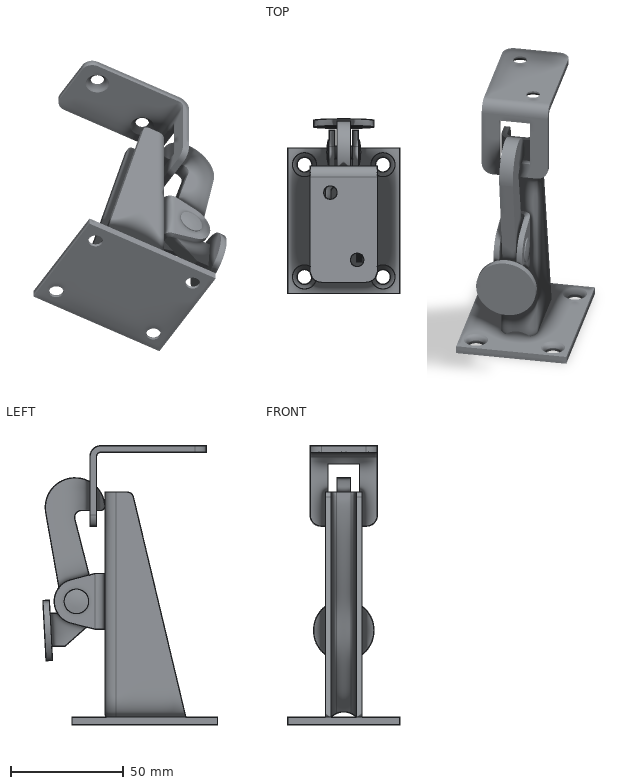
import cadquery as cq
import math


sink_angle = 90

base_width = 50.0
base_length = 65.0
base_thickness = 3.5
base_hole_diameter = 6.5
base_sink_diameter = 10.7
base_hole_spacing_x = 35.0
base_hole_spacing_y = 50.0

sheet = 2.5

post_width = 16.4
post_height = 100.3
post_back = 17.8
post_depth_bottom = 36.1
post_depth_top = 12.2
post_bend_radius = 5.0
post_corner_radius = 3.0
relief_radius = 8.1
relief_height = 2.2

clevis_width = 13.0
clevis_height = 24.9
clevis_bend_radius = 4.5
ear_radius = 10.0

rivet_diameter = 5.7
rivet_y = post_back + 12.7
rivet_z = 55.0
rivet_head_diameter = 11.0
rivet_rim_height = 0.5
rivet_dome_height = 0.6

strike_top = 124.5
strike_thickness = 3.0
strike_width = 30.0
strike_length = 51.9
strike_drop = 36.0
strike_back = post_back + 6.7
strike_bend_radius = 5.0
strike_corner_radius = 5.0
strike_hole_diameter = 6.0
strike_sink_diameter = 10.5
strike_hole_offset_x = 6.0
strike_hole_inset_back = 12.0
strike_hole_spacing_y = 30.0
window_width = 14.0
window_top_margin = 8.2
window_bottom_margin = 7.0

lever_thickness = 6.2
hook_radius = 13.3
hook_y = post_back + hook_radius
hook_z = 96.9
hook_tip_radius = 2.0
throat_radius = 3.0
throat_y = 32.1
outer_edge_lean = math.radians(10.0)
inner_edge_lean = math.radians(14.3)
tail_top = 49.8
tail_bottom = 35.0
tail_corner_y = 35.6
tail_slope = math.radians(41.7)
heel_radius = 5.0
disc_diameter = 27.0
disc_thickness = 3.0
disc_y = 43.3
disc_z = 42.1
disc_tilt = 3.0

post_top = base_thickness + post_height
strike_bottom = strike_top - strike_drop
window_bottom = strike_bottom + window_bottom_margin


def slab(outline, width):
    """Extrude an outline of the YZ plane evenly to both sides of X = 0."""
    return outline.extrude(width / 2, both=True)


def crosswise_cylinder(diameter, length, y, z):
    """A cylinder along X, centred on X = 0."""
    return slab(cq.Workplane("YZ").center(y, z).circle(diameter / 2), length)


def u_channel(width, back, depth, bottom, height, bend_radius, opening):
    """A bent sheet U with its web at Y = back; opening is +1 or -1, the Y side it opens to."""
    middle = back + opening * depth / 2
    outer = (
        cq.Workplane("XY").workplane(offset=bottom).center(0, middle).rect(width, depth).extrude(height)
    )
    web_side = "<Y" if opening > 0 else ">Y"
    outer = outer.faces(web_side).edges("|Z").fillet(bend_radius)
    inner = (
        cq.Workplane("XY")
        .workplane(offset=bottom)
        .center(0, middle + opening * sheet)
        .rect(width - 2 * sheet, depth)
        .extrude(height)
    )
    inner = inner.faces(web_side).edges("|Z").fillet(bend_radius - sheet)
    return outer.cut(inner)


def make_base():
    plate = cq.Workplane("XY").box(base_width, base_length, base_thickness, centered=(True, True, False))
    return (
        plate.faces(">Z")
        .workplane()
        .rect(base_hole_spacing_x, base_hole_spacing_y, forConstruction=True)
        .vertices()
        .cskHole(base_hole_diameter, base_sink_diameter, sink_angle)
    )


def make_post():
    channel = u_channel(
        post_width, post_back, post_depth_bottom, base_thickness, post_height, post_bend_radius, -1
    )
    side = slab(
        cq.Workplane("YZ").polyline([
            (post_back, base_thickness),
            (post_back - post_depth_bottom, base_thickness),
            (post_back - post_depth_top, post_top),
            (post_back, post_top),
        ]).close(),
        post_width,
    )
    side = side.edges("|X").edges(">Z").edges("<Y").fillet(post_corner_radius)
    relief = (
        cq.Workplane("XZ", origin=(0, post_back, 0))
        .center(0, base_thickness + relief_height - relief_radius)
        .circle(relief_radius)
        .extrude(post_bend_radius)
    )
    return channel.intersect(side).cut(relief)


def make_clevis():
    depth = rivet_y + ear_radius - post_back
    channel = u_channel(
        clevis_width, post_back, depth, rivet_z - clevis_height / 2, clevis_height, clevis_bend_radius, 1
    )
    shoulder_y = post_back + clevis_bend_radius
    shoulder_z = clevis_height / 2
    shoulder_run = rivet_y - shoulder_y
    reach = math.hypot(shoulder_run, shoulder_z)
    tangent_angle = math.atan2(shoulder_z, -shoulder_run) - math.acos(ear_radius / reach)
    tangent_y = rivet_y + ear_radius * math.cos(tangent_angle)
    tangent_z = ear_radius * math.sin(tangent_angle)
    ears = slab(
        cq.Workplane("YZ")
        .moveTo(post_back, rivet_z - shoulder_z)
        .lineTo(shoulder_y, rivet_z - shoulder_z)
        .lineTo(tangent_y, rivet_z - tangent_z)
        .threePointArc((rivet_y + ear_radius, rivet_z), (tangent_y, rivet_z + tangent_z))
        .lineTo(shoulder_y, rivet_z + shoulder_z)
        .lineTo(post_back, rivet_z + shoulder_z)
        .close(),
        clevis_width,
    )
    hole = crosswise_cylinder(rivet_diameter, clevis_width, rivet_y, rivet_z)
    return channel.intersect(ears).cut(hole)


def make_stand():
    return make_base().union(make_post()).union(make_clevis())


def make_strike():
    tip_y = strike_back - strike_length
    profile = slab(
        cq.Workplane("YZ").polyline([
            (strike_back, strike_bottom),
            (strike_back, strike_top),
            (tip_y, strike_top),
            (tip_y, strike_top - strike_thickness),
            (strike_back - strike_thickness, strike_top - strike_thickness),
            (strike_back - strike_thickness, strike_bottom),
        ]).close(),
        strike_width,
    )
    outer_bend = profile.edges("|X").edges(">Z").edges(">Y")
    strike = outer_bend.fillet(strike_bend_radius)
    inner_corner = cq.selectors.NearestToPointSelector(
        (0, strike_back - strike_thickness, strike_top - strike_thickness)
    )
    strike = strike.edges("|X").edges(inner_corner).fillet(strike_bend_radius - strike_thickness)
    strike = strike.faces("<Y").edges("|Z").fillet(strike_corner_radius)
    strike = strike.faces("<Z").edges("|Y").fillet(strike_corner_radius)

    window_height = strike_drop - window_top_margin - window_bottom_margin
    window = cq.Workplane("XY").box(window_width, strike_thickness, window_height).translate(
        (0, strike_back - strike_thickness / 2, window_bottom + window_height / 2)
    )
    back_hole_y = strike_back - strike_hole_inset_back
    sink_depth = (strike_sink_diameter - strike_hole_diameter) / 2 / math.tan(math.radians(sink_angle / 2))
    underside = strike_top - strike_thickness
    screw_hole = (
        cq.Workplane("XZ")
        .moveTo(0, underside)
        .lineTo(strike_sink_diameter / 2, underside)
        .lineTo(strike_hole_diameter / 2, underside + sink_depth)
        .lineTo(strike_hole_diameter / 2, strike_top)
        .lineTo(0, strike_top)
        .close()
        .revolve(360, (0, 0, 0), (0, 1, 0))
    )
    strike = strike.cut(window)
    for hole_x, hole_y in [
        (-strike_hole_offset_x, back_hole_y),
        (strike_hole_offset_x, back_hole_y - strike_hole_spacing_y),
    ]:
        strike = strike.cut(screw_hole.translate((hole_x, hole_y, 0)))
    return strike


def make_hook():
    underside = window_bottom
    tip_y = hook_y - math.sqrt(hook_radius**2 - (hook_z - underside) ** 2)
    tangent_y = hook_y + hook_radius * math.cos(outer_edge_lean)
    tangent_z = hook_z - hook_radius * math.sin(outer_edge_lean)
    tail_root_y = tangent_y - (tangent_z - tail_top) * math.tan(outer_edge_lean)
    inner_pull = math.tan(inner_edge_lean)
    tail_rise = math.tan(tail_slope)
    heel_z = (tail_bottom + tail_rise * (tail_corner_y - throat_y + inner_pull * underside)) / (
        1 + tail_rise * inner_pull
    )
    heel_y = throat_y - (underside - heel_z) * inner_pull
    hook = slab(
        cq.Workplane("YZ")
        .moveTo(tip_y, underside)
        .threePointArc((hook_y, hook_z + hook_radius), (tangent_y, tangent_z))
        .lineTo(tail_root_y, tail_top)
        .lineTo(disc_y, tail_top)
        .lineTo(disc_y, tail_bottom)
        .lineTo(tail_corner_y, tail_bottom)
        .lineTo(heel_y, heel_z)
        .lineTo(throat_y, underside)
        .close(),
        lever_thickness,
    )
    for corner, radius in [
        ((tip_y, underside), hook_tip_radius),
        ((throat_y, underside), throat_radius),
        ((heel_y, heel_z), heel_radius),
    ]:
        edge = cq.selectors.NearestToPointSelector((0, *corner))
        hook = hook.edges("|X").edges(edge).fillet(radius)
    return hook


def make_lever():
    disc = (
        cq.Workplane("XZ")
        .circle(disc_diameter / 2)
        .extrude(disc_thickness)
        .translate((0, disc_thickness / 2, 0))
        .rotate((0, 0, 0), (1, 0, 0), -disc_tilt)
        .translate((0, disc_y, disc_z))
    )
    hole = crosswise_cylinder(rivet_diameter, lever_thickness, rivet_y, rivet_z)
    return make_hook().union(disc).cut(hole)


def make_rivet():
    shank_end = clevis_width / 2
    rim_end = shank_end + rivet_rim_height
    crown = rim_end + rivet_dome_height
    head_radius = rivet_head_diameter / 2
    dome_radius = (head_radius**2 + rivet_dome_height**2) / (2 * rivet_dome_height)
    shank = crosswise_cylinder(rivet_diameter, clevis_width, rivet_y, rivet_z)
    half_angle = math.asin(head_radius / dome_radius) / 2
    dome_mid_x = crown - dome_radius * (1 - math.cos(half_angle))
    dome_mid_r = dome_radius * math.sin(half_angle)
    head = (
        cq.Workplane("XY", origin=(0, rivet_y, rivet_z))
        .moveTo(shank_end, 0)
        .lineTo(shank_end, head_radius)
        .lineTo(rim_end, head_radius)
        .threePointArc((dome_mid_x, dome_mid_r), (crown, 0))
        .close()
        .revolve(360, (0, 0, 0), (1, 0, 0))
    )
    return shank.union(head).union(head.mirror("YZ"))


stand = make_stand()
strike = make_strike()
lever = make_lever()
rivet = make_rivet()

result = cq.Compound.makeCompound([stand.val(), strike.val(), lever.val(), rivet.val()])